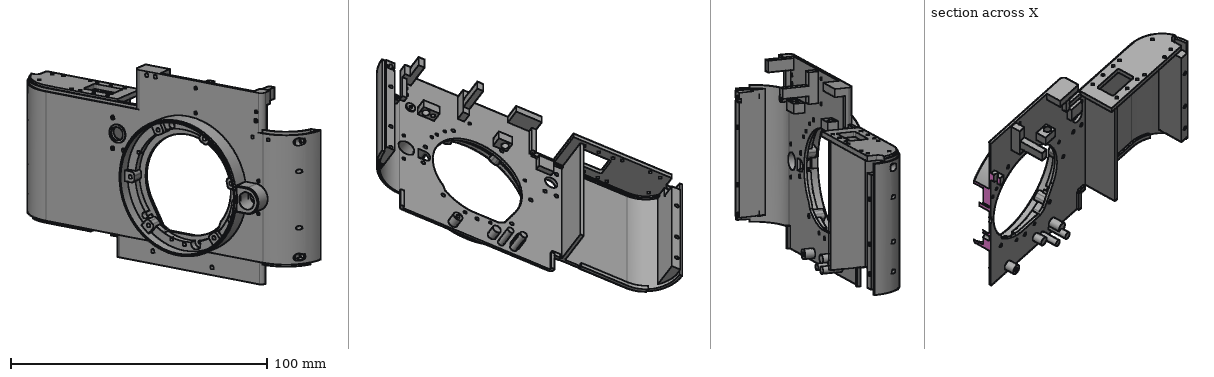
import cadquery as cq
import math


body_left = -83.2
body_right = 51.4
body_half_height = 26.35
grip_radius = 16.4
wall = 1.2
band_back = grip_radius + 0.01
left_bend_x = body_left + grip_radius
right_bend_x = body_right - grip_radius

lip_inset = 0.6
lip_overlap = 1.0
lip_top = 27.6
left_lip_thickness = 1.5
right_lip_thickness = 0.6
foot_bottom = -27.35
foot_left, foot_right = -74.7, -46.0
foot_tab_left = -36.6
lip_depth = 11.4
lid_inset = 1.2
lid_top = 28.5
lid_back = 17.3
lid_right = -33.9
lid_notch_x, lid_notch_y = -78.0, 11.4
lid_notch_radius = 2.0
lid_window_x = (-52.9, -39.6)
lid_window_y = (5.7, 13.5)
lid_window_radius = 0.6
window_screw_x = (-52.8, -46.4, -39.9)
window_screw_y = (3.2, 15.2)
lid_holes = [(-73.9, 15.2), (-69.1, 15.9), (-56.5, 15.9), (-73.9, 6.1), (-56.8, 3.2)]
lid_wall_x = (-39.3, -37.8)
lid_wall_back = 15.9

post_width = 3.8
post_outer_inset = 1.4
post_front = 6.0
post_step = lid_notch_y
left_post_top, right_post_top = 21.7, 25.8
post_bottom = -24.4
post_groove = (21.7, 23.2)

plate_thickness = wall
root = plate_thickness / 2
tower_left = -25.1
tower_right = 34.9
tower_top = 42.5
tower_wall_depth = 3.4
tower_edge_radius = 2.0
left_block_right = -13.6
left_block_back = 7.8
left_block_z = (39.2, tower_top)
stub_back = 5.4
middle_block_x = (6.0, 8.9)
middle_block_z = (29.1, 41.9)
middle_arm_x = (6.0, 8.7)
middle_arm_z = (32.3, 36.4)
middle_arm_back = 16.4
right_block_left = 30.2
right_block_z = (37.1, tower_top)
right_arm_x = (29.9, 32.6)
right_arm_z = (37.1, 41.8)
right_arm_back = 12.1
skirt_left = -34.0
skirt_bottom = -35.5
skirt_front = 0.2
skirt_wall_depth = 2.2
skirt_edge_radius = 1.5

mount_radius = 27.5
mount_bore_radius = 26.5
mount_front = -7.6
mount_chamfer = 0.5
land_radius = 22.8
land_front = -2.9
throat_radius = 20.0
throat_low_radius = 21.0
throat_low_angles = (-66, -46.5)
throat_join_angle = -40
throat_floor = -20.8
throat_corner_points = ((-17.4, -9.9), (-12.1, -19.3), (-9.5, throat_floor))
pad_front = -4.8
pad_width = 4.4
pad_inner = 22.0
pad_outer = mount_bore_radius + 0.2
pad_corner_radius = 1.4
pad_hole_circle = 23.9
pad_angles = (12.5, 63, 117, 180, 230, 310)

slot_left = 21.2
slot_width = 4.8
slot_pocket_right = 28.2
slot_pocket_front = -5.0
notch_diameter = 2.55
land_notches = ((-5.6, 23.7), (21.9, -10.3), (-18.3, -15.2))
wide_notch = (5.5, -22.9)
wide_notch_diameter = 4.4

tube_x = 31.9
tube_left = 26.98
tube_radius = 5.4
tube_bore = 7.0
tube_front = -6.65
tube_chamfer = 0.4

button_x, button_z = -33.0, 14.95
button_diameter, button_bore = 7.4, 5.4
button_front = -0.4

back_bosses = (
    (-16.7, -30.3, 4.0, 6.2),
    (-6.3, -30.3, 3.6, 5.4),
    (11.1, -32.3, 4.0, 5.4),
    (-16.0, -32.2, 2.96, 9.5),
    (-10.4, -32.2, 2.66, 9.1),
    (30.2, 24.1, 4.0, 1.75),
    (37.5, 24.1, 3.0, 3.4),
)

lugs_drilled = (
    ((-13.1, -7.0), ((-11.1, 2.96),)),
    ((19.5, 26.7), ((21.2, 1.6), (24.4, 2.96))),
)
plain_lug_x = (-33.0, -26.3)
plain_lug_back = 3.4
plain_lug_z = (19.0, 25.0)
lug_back = 5.7
lug_z = (22.2, 26.2)
lug_hole_y = 3.4

drill_front, drill_back = -10.0, 20.0
tiny_hole = 1.25
screw_hole = 1.6
grip_cbore = 3.0
grip_cbore_floor = 8.6

left_screw_x = -80.2
left_screw_z = (23.5, 11.6, -6.4, -18.4)
right_screw_x = 47.9
right_screw_z = (23.5, 11.5, -11.5, -23.5)

tiny_holes = (
    (3.5, 39.5),
    (3.5, 29.4),
    (31.9, 34.6),
    (30.2, 24.1),
    (37.5, 24.1),
    (33.0, 6.6),
    (33.0, -6.7),
    (14.6, 18.9),
    (18.2, 15.1),
    (20.5, 12.4),
    (-21.3, 9.9),
    (-5.8, -22.9),
    wide_notch,
)
screw_holes = (
    (31.8, 31.0),
    (-35.4, 21.0),
    (-35.4, 8.5),
    (-30.3, 8.5),
    (24.3, -4.4),
    (0.2, -23.9),
    (11.1, -32.3),
)
blind_holes = ((-19.4, 41.0), (-15.4, 41.0), (-16.7, -30.3))
blind_depth = 4.0


def polar(radius, angle):
    """(x, z) at a radius and an angle in degrees about the mount axis."""
    turn = math.radians(angle)
    return radius * math.cos(turn), radius * math.sin(turn)


def box(x, y, z):
    """Box between the (low, high) limits on each axis."""
    size = (x[1] - x[0], y[1] - y[0], z[1] - z[0])
    return cq.Workplane("XY").box(*size, centered=False).translate((x[0], y[0], z[0]))


def rod(x, z, diameter, y_front, y_back):
    """Cylinder along Y at (x, z)."""
    plane = cq.Workplane("XZ", origin=(0, y_front, 0))
    return plane.center(x, z).circle(diameter / 2).extrude(y_front - y_back)


def drill(part, points, diameter, y_front=drill_front, y_back=drill_back):
    """Cut holes along Y at each (x, z)."""
    for x, z in points:
        part = part.cut(rod(x, z, diameter, y_front, y_back))
    return part


def body_profile(inset, back, z_low, z_high):
    """Solid inside the rounded body outline, set in by `inset` and running back to Y = back."""
    radius = grip_radius - inset
    mid = radius * math.sqrt(0.5)
    return (
        cq.Workplane("XY", origin=(0, 0, z_low))
        .moveTo(body_left + inset, back)
        .lineTo(body_left + inset, grip_radius)
        .threePointArc((left_bend_x - mid, grip_radius - mid), (left_bend_x, inset))
        .lineTo(right_bend_x, inset)
        .threePointArc((right_bend_x + mid, grip_radius - mid), (body_right - inset, grip_radius))
        .lineTo(body_right - inset, back)
        .close()
        .extrude(z_high - z_low)
    )


def band(inset, thickness, z_low, z_high):
    """Strip of wall that follows the body outline."""
    outer = body_profile(inset, band_back, z_low, z_high)
    return outer.cut(body_profile(inset + thickness, lid_back, z_low, z_high))


def make_shell():
    return band(0, wall, -body_half_height, body_half_height)


def make_lips():
    inner_high = body_half_height - lip_overlap
    inner_low = -inner_high
    left_top = band(lip_inset, left_lip_thickness, inner_high, lip_top)
    right_top = band(lip_inset, right_lip_thickness, inner_high, lip_top)
    left_low = band(lip_inset, left_lip_thickness, foot_bottom, inner_low)
    right_low = band(lip_inset, right_lip_thickness, foot_bottom, inner_low)
    spans = (
        (left_top, body_left, tower_left + lip_overlap),
        (right_top, tower_right - lip_overlap, body_right),
        (left_low, foot_left, foot_right),
        (left_low, foot_tab_left, skirt_left + lip_overlap),
        (right_low, tower_right - lip_overlap, body_right),
    )
    lips = cq.Workplane("XY")
    for strip, left, right in spans:
        lips = lips.add(strip.intersect(box((left, right), (0, lip_depth), (foot_bottom, lip_top))))
    return lips.combine()


def make_lid():
    lid = body_profile(lid_inset, lid_back, body_half_height, lid_top)
    lid = lid.intersect(box((body_left, lid_right), (0, lid_back), (0, lid_top)))
    notch = box((body_left, lid_notch_x), (lid_notch_y, lid_back), (0, lid_top))
    lid = lid.cut(notch.edges("|Z and >X and <Y").fillet(lid_notch_radius))
    window = box(lid_window_x, lid_window_y, (0, lid_top)).edges("|Z").fillet(lid_window_radius)
    lid = lid.cut(window)
    holes = [(x, y) for x in window_screw_x for y in window_screw_y]
    cutter = cq.Workplane("XY").pushPoints(holes + lid_holes).circle(tiny_hole / 2).extrude(lid_top)
    return lid.cut(cutter)


def make_lid_wall():
    """Cross wall under the lid."""
    return box(lid_wall_x, (root, lid_wall_back), (-body_half_height, body_half_height))


def make_posts():
    left = body_left + post_outer_inset
    right = body_right - post_outer_inset
    columns = (
        ((left, left + post_width), left_post_top),
        ((right - post_width, right), right_post_top),
    )
    posts = cq.Workplane("XY")
    for x, top in columns:
        rear = box(x, (post_step, lid_back), (post_bottom, top))
        rear = rear.cut(box(x, (grip_radius, lid_back), post_groove))
        posts = posts.add(rear)
        posts = posts.add(box(x, (post_front, post_step), (post_bottom, body_half_height)))
    outline = body_profile(wall / 2, lid_back, post_bottom, body_half_height)
    return posts.combine().intersect(outline)


def panel(left, right, z_low, z_high, front, depth, radius):
    """Flat panel with rounded front side edges and a return wall along each side."""
    block = box((left, right), (front, depth), (z_low, z_high)).edges("|Z and <Y").fillet(radius)
    hollow = box((left + radius, right - radius), (plate_thickness, depth), (z_low, z_high))
    return block.cut(hollow)


def make_tower():
    tower = panel(
        tower_left, tower_right, body_half_height, tower_top, 0, tower_wall_depth, tower_edge_radius
    )
    flat_left = tower_left + tower_edge_radius
    flat_right = tower_right - tower_edge_radius
    for x, front, back, z in (
        ((flat_left, left_block_right), root, left_block_back, left_block_z),
        ((tower_left, flat_left), tower_edge_radius, left_block_back, left_block_z),
        ((right_block_left, flat_right), root, stub_back, right_block_z),
        ((right_block_left, tower_right), tower_edge_radius, stub_back, right_block_z),
        (middle_block_x, root, stub_back, middle_block_z),
        (middle_arm_x, root, middle_arm_back, middle_arm_z),
        (right_arm_x, root, right_arm_back, right_arm_z),
    ):
        tower = tower.union(box(x, (front, back), z))
    return tower


def make_skirt():
    return panel(
        skirt_left, tower_right, skirt_bottom, -body_half_height, skirt_front, skirt_wall_depth,
        skirt_edge_radius
    )


def make_back_bosses():
    bosses = cq.Workplane("XY")
    for x, z, diameter, back in back_bosses:
        bosses = bosses.add(rod(x, z, diameter, root, back))
    return bosses.combine()


def make_lugs():
    """Blocks behind the top edge of the plate, with upright holes."""
    lugs = box(plain_lug_x, (root, plain_lug_back), plain_lug_z)
    for x, hole_x in lugs_drilled:
        lug = box(x, (root, lug_back), lug_z)
        for centre, diameter in hole_x:
            bore = cq.Workplane("XY", origin=(centre, lug_hole_y, lug_z[0])).circle(diameter / 2)
            lug = lug.cut(bore.extrude(lug_z[1] - lug_z[0]))
        lugs = lugs.union(lug)
    return lugs


def make_mount():
    mount = rod(0, 0, 2 * mount_radius, mount_front, root).faces("<Y").chamfer(mount_chamfer)
    mount = mount.cut(rod(0, 0, 2 * mount_bore_radius, mount_front, land_front))
    mount = mount.cut(rod(0, 0, 2 * land_radius, mount_front, 0))
    half = pad_width / 2
    pad = box((pad_inner, pad_outer), (pad_front, root), (-half, half))
    pad = pad.edges("|Y and <X").fillet(pad_corner_radius)
    for angle in pad_angles:
        mount = mount.union(pad.rotate((0, 0, 0), (0, 1, 0), -angle))
    return mount


def make_throat():
    """Opening through the mount: a circle widened below to a flat floor and a larger arc."""
    floor_end = math.sqrt(throat_low_radius**2 - throat_floor**2)
    low = cq.Workplane("XZ", origin=(0, drill_front, 0)).moveTo(0, 0)
    for x, z in throat_corner_points:
        low = low.lineTo(x, z)
    arc_middle, arc_end = [polar(throat_low_radius, angle) for angle in throat_low_angles]
    low = low.lineTo(floor_end, throat_floor).threePointArc(arc_middle, arc_end)
    low = low.lineTo(*polar(throat_radius, throat_join_angle)).close()
    low = low.extrude(drill_front - drill_back)
    return rod(0, 0, 2 * throat_radius, drill_front, drill_back).union(low)


def make_mount_slot():
    """Slot through the mount floor, with a blind pocket through the rim into the tube arm."""
    half = slot_width / 2
    middle = slot_left + half
    slot = rod(middle, 0, slot_width, mount_front, drill_back)
    slot = slot.union(box((middle, mount_bore_radius), (mount_front, drill_back), (-half, half)))
    return slot.union(box((middle, slot_pocket_right), (slot_pocket_front, 0), (-half, half)))


def make_tube():
    tube = rod(tube_x, 0, 2 * tube_radius, tube_front, root)
    arm = box((tube_left, tube_x), (tube_front, root), (-tube_radius, tube_radius))
    return tube.union(arm).faces("<Y").chamfer(tube_chamfer)


def drill_grips(part):
    """Screw holes along the two rounded grips, some of them counterbored."""
    left = [(left_screw_x, z) for z in left_screw_z]
    right = [(right_screw_x, z) for z in right_screw_z]
    part = drill(part, left + right, screw_hole)
    return drill(part, [left[0], right[0], right[-1]], grip_cbore, 0, grip_cbore_floor)


result = make_shell()
for piece in (
    make_lips(),
    make_lid(),
    make_lid_wall(),
    make_posts(),
    make_tower(),
    make_skirt(),
    make_back_bosses(),
    make_lugs(),
    make_mount(),
    make_tube(),
    rod(button_x, button_z, button_diameter, button_front, root),
):
    result = result.union(piece)

result = result.cut(make_throat()).cut(make_mount_slot())
result = drill(result, [(button_x, button_z)], button_bore)
result = drill(result, [(tube_x, 0)], tube_bore)
result = drill(result, land_notches, notch_diameter, mount_front, 0)
result = drill(result, [wide_notch], wide_notch_diameter, mount_front, 0)
result = drill(result, [polar(pad_hole_circle, angle) for angle in pad_angles], screw_hole)
result = drill(result, tiny_holes, tiny_hole)
result = drill(result, screw_holes, screw_hole)
result = drill(result, blind_holes, screw_hole, 0, blind_depth)
result = drill_grips(result)